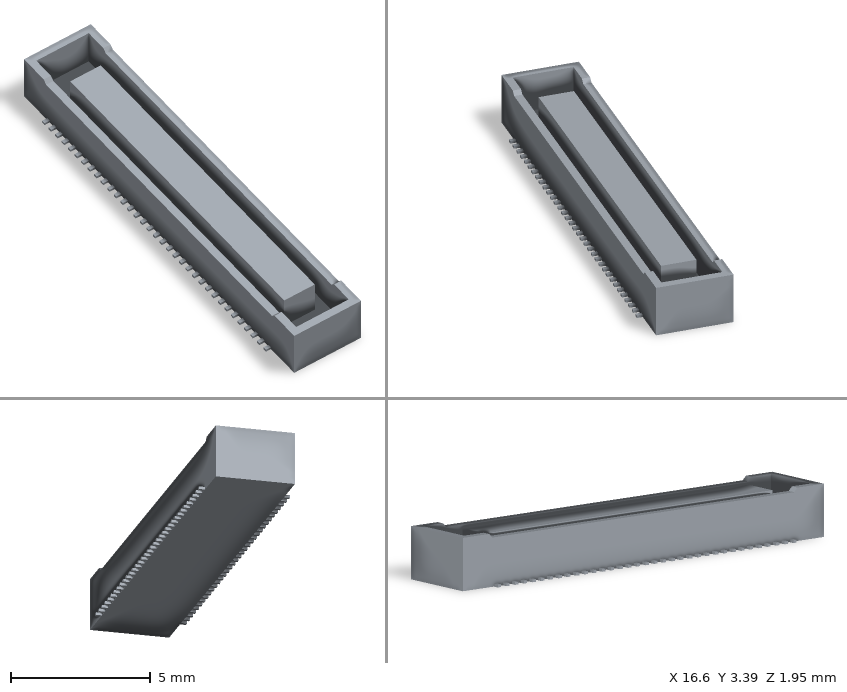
import cadquery as cq

LENGTH = 16.6
WIDTH = 2.94
HEIGHT = 1.95
WALL = 0.32
FLOOR = 0.46

RELIEF_DEPTH = 0.15
RELIEF_TOP_INSET = 1.21
RELIEF_TOP_LENGTH = LENGTH - 2 * RELIEF_TOP_INSET
RELIEF_BOTTOM_LENGTH = RELIEF_TOP_LENGTH - 2 * RELIEF_DEPTH

ISLAND_LENGTH = 13.15
ISLAND_WIDTH = 1.35
ISLAND_TOP = HEIGHT - RELIEF_DEPTH

TAILS_PER_ROW = 35
TAIL_ROW_LENGTH = 13.6
TAIL_PITCH = TAIL_ROW_LENGTH / (TAILS_PER_ROW - 1)
TAIL_WIDTH = 0.15
TAIL_THICKNESS = 0.1
SPAN_OVER_TAILS = 3.39
TAIL_REACH = (SPAN_OVER_TAILS - WIDTH) / 2
TAIL_EMBED = WALL / 2


def block(length, width, bottom, top):
    """Rectangular block centred on X and Y between two heights."""
    height = top - bottom
    return cq.Workplane("XY").workplane(offset=bottom).rect(length, width).extrude(height)


def wall_relief():
    """Trapezoidal cutter running across the full width."""
    half_top = RELIEF_TOP_LENGTH / 2
    half_bottom = RELIEF_BOTTOM_LENGTH / 2
    outline = [
        (-half_top, HEIGHT),
        (-half_bottom, HEIGHT - RELIEF_DEPTH),
        (half_bottom, HEIGHT - RELIEF_DEPTH),
        (half_top, HEIGHT),
    ]
    return cq.Workplane("XZ").polyline(outline).close().extrude(WIDTH / 2, both=True)


def solder_tails():
    """Both rows of tails, each tail starting inside its long wall."""
    tail_length = TAIL_REACH + TAIL_EMBED
    row_spacing = SPAN_OVER_TAILS - tail_length
    return (
        cq.Workplane("XY")
        .rarray(TAIL_PITCH, row_spacing, TAILS_PER_ROW, 2)
        .rect(TAIL_WIDTH, tail_length)
        .extrude(TAIL_THICKNESS)
    )


housing = block(LENGTH, WIDTH, 0, HEIGHT)
cavity = block(LENGTH - 2 * WALL, WIDTH - 2 * WALL, FLOOR, HEIGHT)
island = block(ISLAND_LENGTH, ISLAND_WIDTH, FLOOR, ISLAND_TOP)

result = housing.cut(cavity).cut(wall_relief()).union(island).union(solder_tails())